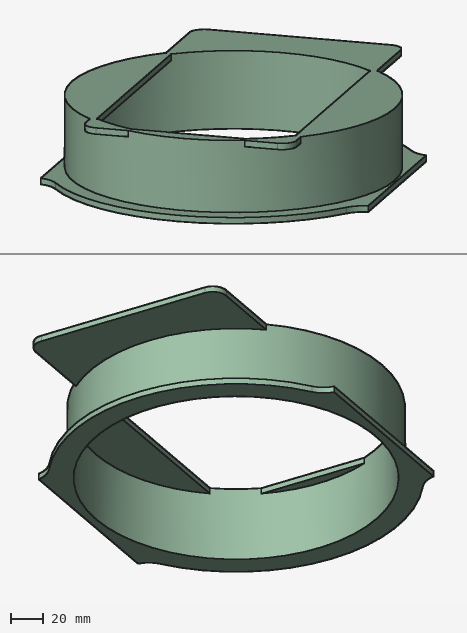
import cadquery as cq
import math

HEIGHT = 50.0
PLATE_THICKNESS = 4.0
WALL = 4.0
BORE_RADIUS = 100.0
RING_RADIUS = BORE_RADIUS + WALL

FLANGE_RADIUS = 115.5
FLANGE_WIDTH = 211.0
EAR_HALF_LENGTH = 60.0
EAR_BLEND_RADIUS = 18.0

TAB_WIDTH = 136.0
TAB_LENGTH = 234.0
TAB_BACK_Y = 137.0
TAB_FRONT_Y = TAB_BACK_Y - TAB_LENGTH
TAB_CORNER_RADIUS = 9.5
OPENING_MARGIN = 4.0
OPENING_WIDTH = TAB_WIDTH - 2 * OPENING_MARGIN
OPENING_FRONT_Y = TAB_FRONT_Y + OPENING_MARGIN


def disc(radius, thickness, base_z):
    return cq.Workplane("XY").workplane(offset=base_z).circle(radius).extrude(thickness)


def block(width, front_y, back_y, thickness, base_z):
    """Box centred on X, running from front_y to back_y."""
    return (
        cq.Workplane("XY")
        .workplane(offset=base_z)
        .center(0, (front_y + back_y) / 2)
        .rect(width, back_y - front_y)
        .extrude(thickness)
    )


def make_flange():
    """Round flange with straight sides whose ends sweep into the rim by concave arcs."""
    half_width = FLANGE_WIDTH / 2
    center_distance = FLANGE_RADIUS + EAR_BLEND_RADIUS
    center_y = EAR_HALF_LENGTH + EAR_BLEND_RADIUS
    center_x = math.sqrt(center_distance**2 - center_y**2)
    rim_x = center_x * FLANGE_RADIUS / center_distance
    rim_y = center_y * FLANGE_RADIUS / center_distance
    side_y = center_y - math.sqrt(EAR_BLEND_RADIUS**2 - (half_width - center_x) ** 2)
    return (
        cq.Workplane("XY")
        .moveTo(half_width, -side_y)
        .lineTo(half_width, side_y)
        .radiusArc((rim_x, rim_y), EAR_BLEND_RADIUS)
        .threePointArc((0, FLANGE_RADIUS), (-rim_x, rim_y))
        .radiusArc((-half_width, side_y), EAR_BLEND_RADIUS)
        .lineTo(-half_width, -side_y)
        .radiusArc((-rim_x, -rim_y), EAR_BLEND_RADIUS)
        .threePointArc((0, -FLANGE_RADIUS), (rim_x, -rim_y))
        .radiusArc((half_width, -side_y), EAR_BLEND_RADIUS)
        .close()
        .extrude(PLATE_THICKNESS)
    )


def make_top_plate():
    """Disc closing the ring, joined to a long rounded tab that overhangs front and back."""
    base_z = HEIGHT - PLATE_THICKNESS
    tab = block(TAB_WIDTH, TAB_FRONT_Y, TAB_BACK_Y, PLATE_THICKNESS, base_z)
    tab = tab.edges("|Z").fillet(TAB_CORNER_RADIUS)
    return disc(RING_RADIUS, PLATE_THICKNESS, base_z).union(tab)


def make_opening():
    """Window through the top plate: the bore trimmed by two sides and a straight front."""
    window = block(OPENING_WIDTH, OPENING_FRONT_Y, BORE_RADIUS, HEIGHT, 0)
    return window.intersect(disc(BORE_RADIUS, HEIGHT, 0))


ring = disc(RING_RADIUS, HEIGHT, 0)
bore = disc(BORE_RADIUS, HEIGHT - PLATE_THICKNESS, 0)

result = make_flange().union(ring).union(make_top_plate()).cut(bore).cut(make_opening())